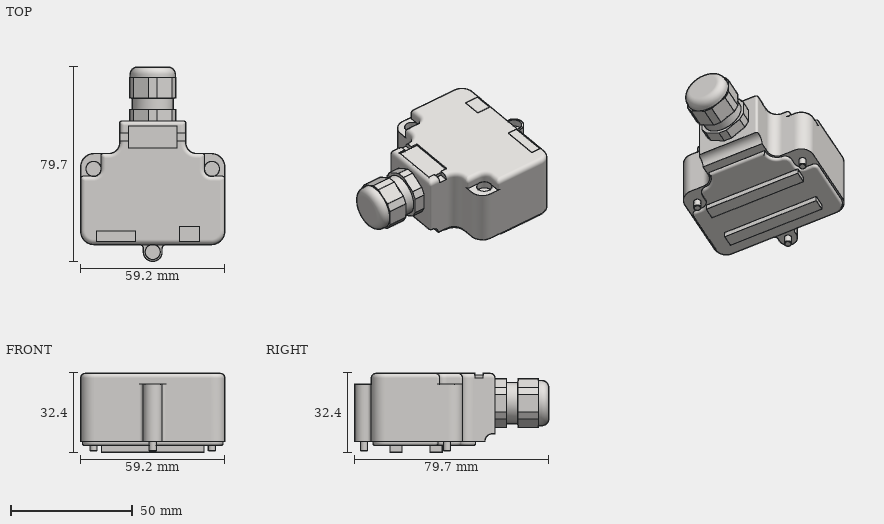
import cadquery as cq
import math

HALF_WIDTH = 29.6
HEIGHT = 28.0
EAR_BACK_Y = 37.45
NECK_HALF_WIDTH = 13.6
NECK_BACK_Y = 50.8
NECK_BLEND_RADIUS = 4.4
CORNER_RADIUS = 5.6
TOP_EDGE_RADIUS = 2.0
SMALL_CORNER_RADIUS = 1.0
SELECT_MARGIN = 0.01

EAR_TOP_Z = 23.5
EAR_SCREW_X = 24.25
EAR_SCREW_Y = 31.1
SCREW_HEAD_RADIUS = 3.1
SCREW_HEAD_RECESS = 3.2
EAR_WALL_RADIUS = 3.0
EAR_WALL_X = EAR_SCREW_X - EAR_WALL_RADIUS
EAR_WALL_Y = EAR_SCREW_Y - EAR_WALL_RADIUS

LUG_RADIUS = 3.9
LUG_SCREW_Y = -2.95
LUG_BLEND_RADIUS = 1.45
LUG_OVERLAP = 0.7

SCREW_TIP_RADIUS = 1.5
SCREW_TIP_BOTTOM_Z = -3.9
SCREW_TIP_CHAMFER = 0.25
SCREW_POSITIONS = [
    (-EAR_SCREW_X, EAR_SCREW_Y),
    (EAR_SCREW_X, EAR_SCREW_Y),
    (0, LUG_SCREW_Y),
]

RELIEF_RADIUS = 3.15
RELIEF_CENTER_Y = NECK_BACK_Y - SMALL_CORNER_RADIUS

LABEL_HALF_WIDTH = 10.0
LABEL_FRONT_Y = 39.6
LABEL_DEPTH = 0.7
NECK_NOTCH_FRONT_Y = 42.55
NECK_NOTCH_BACK_Y = 45.9
PAD_RECESS_DEPTH = 0.1
WIDE_PAD_X = (-23.0, -7.1)
WIDE_PAD_BACK_Y = 5.55
SQUARE_PAD_X = (10.9, 19.1)
SQUARE_PAD_BACK_Y = 7.5

PLATE_INSET = 0.7
PLATE_THICKNESS = 1.7
PLATE_EDGE_RADIUS = 1.0
PLATE_BACK_Y = 42.85
PLATE_TONGUE_RADIUS = 3.0
PLATE_SHOULDER_RADIUS = 2.0
RAIL_HALF_LENGTH = 21.1
RAIL_BOTTOM_Z = -4.4
RAIL_WIDTH = 5.1
RAIL_FRONT_EDGES_Y = (7.6, 24.1)

GLAND_Z = 15.75
HEX_SIDES = 6
HEX_TURN = 180 / HEX_SIDES
GLAND_HEX_FLATS = 19.0
GLAND_CORNER_TO_CORNER = 20.0
GLAND_BASE_LENGTH = 4.7
GLAND_SLEEVE_LENGTH = 4.75
GLAND_SLEEVE_RADIUS = 8.5
GLAND_NUT_LENGTH = 8.3
GLAND_COLLAR_RADIUS = 9.35
GLAND_COLLAR_LENGTH = 0.25
GLAND_CAP_RADIUS = 9.35
GLAND_END_Y = 72.88
GLAND_CAP_EDGE_RADIUS = 3.1


def block(x_range, y_range, z_range):
    """Axis-aligned box from its limits."""
    return cq.Workplane("XY").box(
        x_range[1] - x_range[0],
        y_range[1] - y_range[0],
        z_range[1] - z_range[0],
        centered=False,
    ).translate((x_range[0], y_range[0], z_range[0]))


def mirrored_pair(solid):
    """A solid together with its mirror image across X = 0."""
    return solid.union(solid.mirror("YZ"))


def corner_selector(x, y):
    """Selects edges standing on the vertical line through (x, y)."""
    lower = (x - SELECT_MARGIN, y - SELECT_MARGIN, -HEIGHT)
    upper = (x + SELECT_MARGIN, y + SELECT_MARGIN, HEIGHT)
    return cq.selectors.BoxSelector(lower, upper)


def round_corners(solid, x, y, radius):
    """Round the vertical corner edges at (+-x, y)."""
    corners = corner_selector(-x, y) + corner_selector(x, y)
    return solid.edges("|Z").edges(corners).fillet(radius)


def stepped_prism(inset, back_y, bottom_z, top_z, ears):
    """Inset housing outline with sharp back corners, with or without the rear ears."""
    side_x = HALF_WIDTH - inset
    shoulder_y = EAR_BACK_Y - inset
    neck_x = NECK_HALF_WIDTH - inset
    prism = block((-side_x, side_x), (inset, shoulder_y), (bottom_z, top_z))
    neck = block((-neck_x, neck_x), (inset, back_y), (bottom_z, top_z))
    prism = round_corners(prism.union(neck), neck_x, shoulder_y, NECK_BLEND_RADIUS + inset)
    prism = round_corners(prism, side_x, inset, CORNER_RADIUS - inset)
    if ears:
        return prism
    wall_x = EAR_WALL_X - inset
    wall_y = EAR_WALL_Y - inset
    clearance = block((wall_x, HALF_WIDTH), (wall_y, EAR_BACK_Y), (bottom_z, top_z))
    prism = prism.cut(mirrored_pair(clearance))
    return round_corners(prism, wall_x, wall_y, EAR_WALL_RADIUS + inset)


def cover():
    """Full-height housing without ears, with its top edge and outer corners rounded."""
    body = stepped_prism(0, NECK_BACK_Y, 0, HEIGHT, ears=False)
    body = body.faces(">Z").edges().fillet(TOP_EDGE_RADIUS)
    for x, y in (
        (NECK_HALF_WIDTH, NECK_BACK_Y),
        (EAR_WALL_X, EAR_BACK_Y),
        (HALF_WIDTH, EAR_WALL_Y),
    ):
        body = round_corners(body, x, y, SMALL_CORNER_RADIUS)
    return body


def eared_base():
    """Lower part of the housing that carries the rear ears."""
    base = stepped_prism(0, NECK_BACK_Y, 0, EAR_TOP_Z, ears=True)
    base = round_corners(base, NECK_HALF_WIDTH, NECK_BACK_Y, SMALL_CORNER_RADIUS)
    return round_corners(base, HALF_WIDTH, EAR_BACK_Y, CORNER_RADIUS)


def front_lug():
    """Round-nosed lug blended into the front wall, full height of the ears."""
    foot_x = LUG_RADIUS + LUG_BLEND_RADIUS
    blend_mid = LUG_BLEND_RADIUS * (1 - math.sqrt(0.5))
    return (
        cq.Workplane("XY")
        .moveTo(-foot_x, 0)
        .threePointArc(
            (-LUG_RADIUS - blend_mid, -blend_mid), (-LUG_RADIUS, -LUG_BLEND_RADIUS)
        )
        .lineTo(-LUG_RADIUS, LUG_SCREW_Y)
        .threePointArc((0, LUG_SCREW_Y - LUG_RADIUS), (LUG_RADIUS, LUG_SCREW_Y))
        .lineTo(LUG_RADIUS, -LUG_BLEND_RADIUS)
        .threePointArc((LUG_RADIUS + blend_mid, -blend_mid), (foot_x, 0))
        .lineTo(foot_x, LUG_OVERLAP)
        .lineTo(-foot_x, LUG_OVERLAP)
        .close()
        .extrude(EAR_TOP_Z)
    )


def screw_recesses():
    """Round recesses above the three screw heads."""
    return (
        cq.Workplane("XY", origin=(0, 0, EAR_TOP_Z - SCREW_HEAD_RECESS))
        .pushPoints(SCREW_POSITIONS)
        .circle(SCREW_HEAD_RADIUS)
        .extrude(SCREW_HEAD_RECESS)
    )


def screw_tips():
    """Screw ends projecting below the housing."""
    return (
        cq.Workplane("XY", origin=(0, 0, SCREW_TIP_BOTTOM_Z))
        .pushPoints(SCREW_POSITIONS)
        .circle(SCREW_TIP_RADIUS)
        .extrude(-SCREW_TIP_BOTTOM_Z)
        .faces("<Z")
        .edges()
        .chamfer(SCREW_TIP_CHAMFER)
    )


def neck_relief():
    """Rounded undercut across the lower back edge of the neck."""
    x_range = (-NECK_HALF_WIDTH, NECK_HALF_WIDTH)
    hollow = (
        cq.Workplane("YZ", origin=(-NECK_HALF_WIDTH, RELIEF_CENTER_Y, 0))
        .circle(RELIEF_RADIUS)
        .extrude(2 * NECK_HALF_WIDTH)
    )
    return hollow.union(block(x_range, (RELIEF_CENTER_Y, NECK_BACK_Y), (0, RELIEF_RADIUS)))


def top_recesses():
    """Label recess, side notches of the neck and the two shallow front pads."""
    label_back_y = NECK_BACK_Y - TOP_EDGE_RADIUS
    label = block(
        (-LABEL_HALF_WIDTH, LABEL_HALF_WIDTH),
        (LABEL_FRONT_Y, label_back_y),
        (HEIGHT - LABEL_DEPTH, HEIGHT),
    )
    notch = block(
        (LABEL_HALF_WIDTH, NECK_HALF_WIDTH),
        (NECK_NOTCH_FRONT_Y, NECK_NOTCH_BACK_Y),
        (HEIGHT - TOP_EDGE_RADIUS, HEIGHT),
    )
    pad_z = (HEIGHT - PAD_RECESS_DEPTH, HEIGHT)
    wide_pad = block(WIDE_PAD_X, (0, WIDE_PAD_BACK_Y), pad_z)
    square_pad = block(SQUARE_PAD_X, (0, SQUARE_PAD_BACK_Y), pad_z)
    return label.union(mirrored_pair(notch)).union(wide_pad).union(square_pad)


def base_plate():
    """Inset plate under the housing with a rounded lower edge, clear of the ear screws."""
    plate = stepped_prism(PLATE_INSET, PLATE_BACK_Y, -PLATE_THICKNESS, 0, ears=False)
    tongue_x = EAR_WALL_X - PLATE_INSET
    tongue_y = EAR_BACK_Y - PLATE_INSET
    plate = round_corners(plate, tongue_x, tongue_y, PLATE_TONGUE_RADIUS)
    shoulder_x = HALF_WIDTH - PLATE_INSET
    shoulder_y = EAR_WALL_Y - PLATE_INSET
    plate = round_corners(plate, shoulder_x, shoulder_y, PLATE_SHOULDER_RADIUS)
    return plate.faces("<Z").edges().fillet(PLATE_EDGE_RADIUS)


def rails():
    """Two cross rails below the plate."""
    both = cq.Workplane("XY")
    for front_y in RAIL_FRONT_EDGES_Y:
        both = both.union(
            block(
                (-RAIL_HALF_LENGTH, RAIL_HALF_LENGTH),
                (front_y, front_y + RAIL_WIDTH),
                (RAIL_BOTTOM_Z, -PLATE_THICKNESS),
            )
        )
    return both


def gland_plane(y):
    """Workplane across the gland axis; its normal points to the front."""
    return cq.Workplane("XZ", origin=(0, y, GLAND_Z))


def gland_hex(y, length):
    """Hexagonal section with flattened corners, one corner facing up."""
    circle_ratio = 1 / math.cos(math.pi / HEX_SIDES)
    hexagon = (
        gland_plane(y)
        .transformed(rotate=(0, 0, HEX_TURN))
        .polygon(HEX_SIDES, GLAND_HEX_FLATS * circle_ratio)
        .extrude(-length)
    )
    corner_trim = (
        gland_plane(y)
        .polygon(HEX_SIDES, GLAND_CORNER_TO_CORNER * circle_ratio)
        .extrude(-length)
    )
    return hexagon.intersect(corner_trim)


def gland():
    """Cable gland: base hex, sleeve, tapered collar, nut and domed cap."""
    sleeve_y = NECK_BACK_Y + GLAND_BASE_LENGTH
    nut_y = sleeve_y + GLAND_SLEEVE_LENGTH
    cap_y = nut_y + GLAND_NUT_LENGTH
    sleeve = gland_plane(sleeve_y).circle(GLAND_SLEEVE_RADIUS).extrude(-GLAND_SLEEVE_LENGTH)
    collar = (
        gland_plane(nut_y)
        .circle(GLAND_COLLAR_RADIUS)
        .workplane(offset=GLAND_COLLAR_LENGTH)
        .circle(GLAND_SLEEVE_RADIUS)
        .loft()
    )
    cap = (
        gland_plane(cap_y)
        .circle(GLAND_CAP_RADIUS)
        .extrude(cap_y - GLAND_END_Y)
        .faces(">Y")
        .edges()
        .fillet(GLAND_CAP_EDGE_RADIUS)
    )
    base = gland_hex(NECK_BACK_Y, GLAND_BASE_LENGTH)
    nut = gland_hex(nut_y, GLAND_NUT_LENGTH)
    return base.union(sleeve).union(collar).union(nut).union(cap)


housing = cover().union(eared_base()).union(front_lug())
housing = housing.cut(screw_recesses()).cut(neck_relief()).cut(top_recesses())
result = (
    housing.union(base_plate())
    .union(rails())
    .union(screw_tips())
    .union(gland())
    .clean()
)